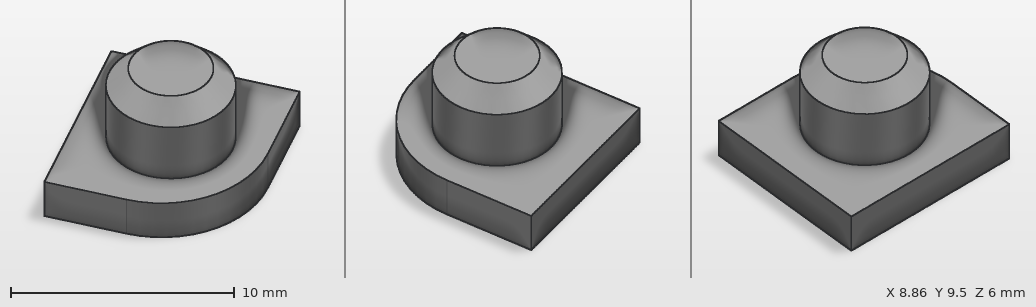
import cadquery as cq

plate_width = 8.86
plate_length = 9.5
plate_thickness = 2.0
corner_radius = 5.0

total_height = 6.0
boss_diameter = 5.8
boss_chamfer = 1.0
boss_x = 4.38
boss_y = plate_length / 2


def make_plate():
    """Rectangular plate with one large rounded corner at +X, -Y."""
    plate = cq.Workplane("XY").box(plate_width, plate_length, plate_thickness, centered=False)
    return plate.edges("|Z and >X and <Y").fillet(corner_radius)


def make_boss():
    """Cylinder through the full height, chamfered around its top edge."""
    boss = cq.Workplane("XY").center(boss_x, boss_y).circle(boss_diameter / 2).extrude(total_height)
    return boss.faces(">Z").chamfer(boss_chamfer)


result = make_plate().union(make_boss())